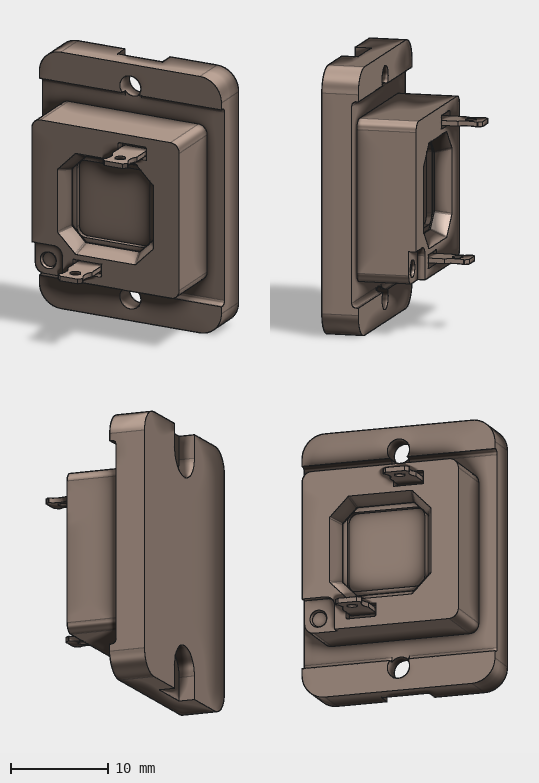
import cadquery as cq
import math


plate_width = 21.0
plate_height = 28.0
plate_corner_radius = 2.5
plate_depth = 3.9
channel_floor = 3.2
channel_height = 21.5
channel_fillet = 0.48

hole_diameter = 2.4
hole_offset = 11.5
recess_width = 5.2
recess_depth = 1.7

housing_size = 17.0
housing_corner_radius = 1.0
housing_front = 9.5

notch_size = 3.53
notch_corner_radius = 1.0
notch_depth = 0.78
dimple_offset = 7.0
dimple_mouth_diameter = 1.82
dimple_floor_diameter = 1.55
dimple_depth = 0.35

pocket_mouth_size = 11.03
pocket_mouth_flat = 6.9
pocket_taper_inset = 0.8
pocket_taper_depth = 1.65
pocket_corner_radius = 0.25
pocket_ledge_depth = 1.8
inner_pocket_size = 8.43
inner_pocket_radius = 1.0
inner_pocket_depth = 0.55

terminal_width = 2.83
terminal_thickness = 0.5
terminal_height = 6.72
terminal_tip = 13.7
terminal_tip_chamfer = 0.4
terminal_hole_diameter = 1.1
neck_setback = 1.5
neck_half_length = 1.0
neck_sag = 0.35
upper_terminal_x = 3.08
lower_terminal_x = -2.1
slot_width = 3.25
slot_inner_edge = 6.1
slot_outer_edge = 7.53
slot_corner_radius = 0.2
slot_depth = 1.0


def at_depth(depth):
    """Workplane facing -Y, at the given depth from the back face."""
    return cq.Workplane("XZ", origin=(0, -depth, 0))


def octagon(plane, size, flat):
    """Square outline whose corners are cut back to leave sides of length flat."""
    side = size / 2
    end = flat / 2
    half_outline = [(side, -end), (side, end), (end, side), (-end, side)]
    return plane.polyline(half_outline + [(-x, -z) for x, z in half_outline]).close()


def make_plate():
    """Rounded plate with a channel across its front and two mounting holes."""
    plate = (
        at_depth(0)
        .rect(plate_width, plate_height)
        .extrude(plate_depth)
        .edges("|Y")
        .fillet(plate_corner_radius)
    )
    hole_radius = hole_diameter / 2
    lip = channel_height / 2
    channel_depth = plate_depth - channel_floor
    channel = (
        at_depth(channel_floor)
        .rect(plate_width, channel_height)
        .extrude(channel_depth)
        .edges("|X and >Y")
        .fillet(channel_fillet)
    )
    plate = plate.cut(channel)

    fillet_gap = 2 * math.sqrt(hole_radius**2 - (hole_offset - lip) ** 2)
    gap = at_depth(channel_floor).rect(fillet_gap, channel_height).extrude(channel_depth)
    holes = (
        at_depth(0)
        .pushPoints([(0, hole_offset), (0, -hole_offset)])
        .circle(hole_radius)
        .extrude(plate_depth)
    )
    return plate.cut(gap).cut(holes)


def make_back_recess(side):
    """U-shaped recess around one mounting hole, open at the plate's end."""
    round_part = at_depth(0).center(0, side * hole_offset).circle(recess_width / 2).extrude(recess_depth)
    open_length = plate_height / 2 - hole_offset
    open_center = side * (hole_offset + open_length / 2)
    open_part = at_depth(0).center(0, open_center).rect(recess_width, open_length).extrude(recess_depth)
    return round_part.union(open_part)


def make_housing():
    """Square block with rounded corners, standing on the channel floor."""
    return (
        at_depth(channel_floor)
        .rect(housing_size, housing_size)
        .extrude(housing_front - channel_floor)
        .edges("|Y")
        .fillet(housing_corner_radius)
    )


def make_pocket():
    """Tapered octagon with a short straight wall, and the square pocket in its floor."""
    taper_end = housing_front - pocket_taper_depth
    ledge = housing_front - pocket_ledge_depth
    ledge_size = pocket_mouth_size - 2 * pocket_taper_inset
    ledge_flat = pocket_mouth_flat - 2 * pocket_taper_inset * math.tan(math.pi / 8)
    mouth = octagon(at_depth(housing_front), pocket_mouth_size, pocket_mouth_flat)
    taper = octagon(
        mouth.workplane(offset=-pocket_taper_depth), ledge_size, ledge_flat
    ).loft(ruled=True)
    straight = octagon(at_depth(ledge), ledge_size, ledge_flat).extrude(taper_end - ledge)
    outer = taper.union(straight).edges("not #Y").fillet(pocket_corner_radius)
    inner = (
        at_depth(ledge - inner_pocket_depth)
        .rect(inner_pocket_size, inner_pocket_size)
        .extrude(inner_pocket_depth)
        .edges("|Y")
        .fillet(inner_pocket_radius)
    )
    return outer.union(inner)


def make_corner_notch():
    """Step at the lower left housing corner, with the tapered hole in its floor."""
    notch_floor = housing_front - notch_depth
    notch_center = (notch_size - housing_size) / 2
    notch = (
        at_depth(notch_floor)
        .center(notch_center, notch_center)
        .rect(notch_size, notch_size)
        .extrude(notch_depth)
        .edges("|Y and >X and >Z")
        .fillet(notch_corner_radius)
    )
    dimple = (
        at_depth(notch_floor)
        .center(-dimple_offset, -dimple_offset)
        .circle(dimple_mouth_diameter / 2)
        .workplane(offset=-dimple_depth)
        .circle(dimple_floor_diameter / 2)
        .loft()
    )
    return notch.union(dimple)


def make_slot(center_x):
    """Terminal slot in the upper half of the housing, rounded at its outer corners."""
    return (
        at_depth(housing_front - slot_depth)
        .center(center_x, (slot_inner_edge + slot_outer_edge) / 2)
        .rect(slot_width, slot_outer_edge - slot_inner_edge)
        .extrude(slot_depth)
        .edges("|Y and >Z")
        .fillet(slot_corner_radius)
    )


def make_terminal(center_x):
    """Flat terminal with a waisted neck, curving at its foot toward the housing center."""
    half = terminal_width / 2
    root = slot_depth - housing_front
    neck = neck_setback - terminal_tip
    underside = terminal_height - terminal_thickness / 2
    blade = (
        cq.Workplane("XY", origin=(center_x, 0, underside))
        .moveTo(-half, root)
        .lineTo(-half, neck + neck_half_length)
        .threePointArc((neck_sag - half, neck), (-half, neck - neck_half_length))
        .lineTo(-half, terminal_tip_chamfer - terminal_tip)
        .lineTo(terminal_tip_chamfer - half, -terminal_tip)
        .lineTo(half - terminal_tip_chamfer, -terminal_tip)
        .lineTo(half, terminal_tip_chamfer - terminal_tip)
        .lineTo(half, neck - neck_half_length)
        .threePointArc((half - neck_sag, neck), (half, neck + neck_half_length))
        .lineTo(half, root)
        .close()
        .moveTo(0, neck)
        .circle(terminal_hole_diameter / 2)
        .extrude(terminal_thickness)
    )
    bend_radius = underside - slot_inner_edge
    bend = (
        cq.Workplane("YZ", origin=(center_x - half, 0, 0))
        .moveTo(root, underside)
        .lineTo(root - bend_radius, underside)
        .radiusArc((root, slot_inner_edge), bend_radius)
        .close()
        .extrude(terminal_width)
    )
    return blade.union(bend)


def half_turn(shape):
    """Turn a shape half a revolution about the Y axis."""
    return shape.rotate((0, 0, 0), (0, 1, 0), 180)


result = make_plate().union(make_housing())
for end in (1, -1):
    result = result.cut(make_back_recess(end))
result = result.cut(make_pocket()).cut(make_corner_notch())

result = result.cut(make_slot(upper_terminal_x)).union(make_terminal(upper_terminal_x))
result = result.cut(half_turn(make_slot(-lower_terminal_x)))
result = result.union(half_turn(make_terminal(-lower_terminal_x)))